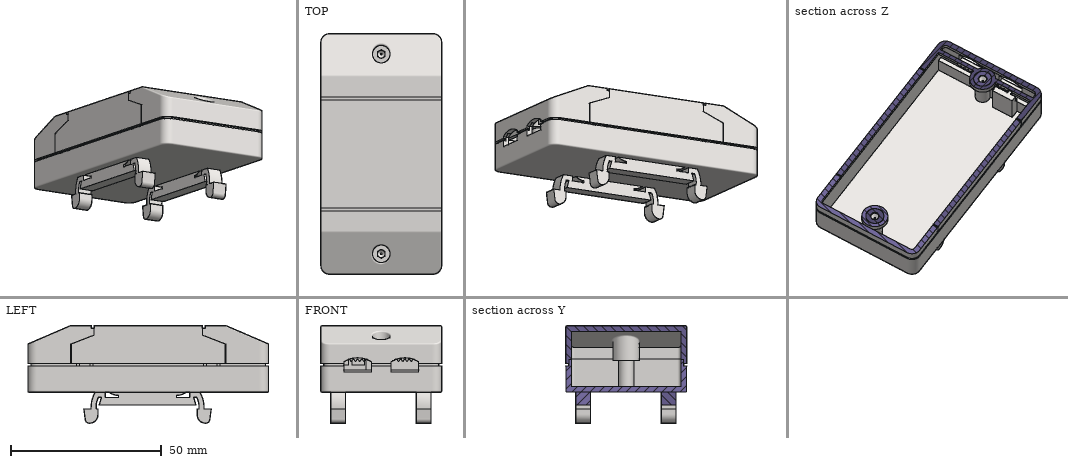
import cadquery as cq
import math

width = 40.2
length = 79.98
case_height = 22.14
wall = 2.0
corner_radius = 3.0
edge_fillet = 0.5
crease_fillet = 1.5

base_top = 8.8
lid_bottom = 9.5
lip_top = 11.0
lip_inset = 1.0
slope_start = 25.9
slope_end_z = 16.05

joint_y = 18.0
joint_top_z = 19.0
joint_foot_y = 25.75
joint_foot_z = 16.0
joint_gap = 0.25
groove_width = 0.9
groove_depth = 0.8

notch_width = 1.0
notch_depth = 0.5
notch_places = [18.8, 23.3]

entry_x = 7.85
entry_width = 9.1
entry_floor_z = 6.7
entry_side_z = 10.1
entry_crown_z = 11.5

clamp_front = 4.3
clamp_thickness = 1.5
clamp_floor_z = 7.5
tooth_tip_z = 10.2
tooth_root_z = 11.1
tooth_pitch = 1.41
tooth_count = 4

terminal_left = -12.9
terminal_right = -5.1
terminal_length = 3.0
terminal_top_z = 11.5
terminal_notch_z = 9.0
terminal_notches = [(terminal_left, -10.9), (-9.65, -5.6)]
terminal_notch_depth = 1.0

screw_y = 33.15
head_radius = 2.9
head_height = 2.0
head_top_z = 13.0
shank_radius = 1.5
shank_bottom_z = 3.0
post_radius = 2.5
bore_wall = 1.5
bore_floor = 0.5
rim_fillet = 0.5
socket_across_flats = 2.6
socket_depth = 1.2
socket_cone_depth = 1.0
socket_tip_radius = 0.25

clip_x = 14.2
clip_width = 5.0
clip_shift_x = -0.1
clip_shift_y = 0.23
clip_height = 10.28

bar_bottom_z = -4.25
bar_end_y = 16.1
slot_top_z = -1.7
slot_inner_y = 15.35
slot_outer_y = 16.3
leg_inner_y = 17.0
leg_outer_y = 18.8
leg_root_y = 17.45
leg_inner_bend = (16.95, -3.6)
leg_outer_bend = (18.6, -3.1)
foot_top_z = -5.45
foot_inner_y = 16.45
foot_curve_z = -7.45
foot_bottom_y = 19.25
foot_heel = (20.75, -8.8)
foot_tip_y = 21.2
window_outer_y = 14.0
window_floor_z = -1.7
window_inner_y = 9.65
window_ceiling_z = -1.05
window_top_y = 12.75
window_arch = (11.4, -0.75)

half_length = length / 2
inner_half_width = width / 2 - wall
clamp_y = (-half_length + clamp_front, -half_length + clamp_front + clamp_thickness)
head_bottom_z = head_top_z - head_height
sleeve_bottom_z = head_bottom_z - bore_floor
slope_angle = math.atan2(case_height - slope_end_z, half_length - slope_start)
root_z = wall / 2
overshoot = 1.0
pick_margin = 0.1


def box_between(x_range, y_range, z_range):
    """Box spanning three (low, high) ranges."""
    sizes = [high - low for low, high in (x_range, y_range, z_range)]
    corner = (x_range[0], y_range[0], z_range[0])
    return cq.Workplane("XY").box(*sizes, centered=False).translate(corner)


def cylinder(radius, y, z_low, z_high):
    """Upright cylinder on the case's centre plane."""
    plane = cq.Workplane("XY", origin=(0, y, z_low))
    return plane.circle(radius).extrude(z_high - z_low)


def rounded_block(inset, z_low, z_high):
    """The case outline moved inward by `inset`."""
    plane = cq.Workplane("XY", origin=(0, 0, z_low))
    block = plane.rect(width - 2 * inset, length - 2 * inset).extrude(z_high - z_low)
    return block.edges("|Z").fillet(corner_radius - inset)


def across(points):
    """Side profile of (Y, Z) points, extruded past both long sides of the case."""
    return cq.Workplane("YZ").polyline(points).close().extrude(width / 2 + overshoot, both=True)


def roof_profile(drop):
    """Block under the flat top and the two end slopes, lowered by `drop`."""
    end_y = half_length + overshoot
    top_z = case_height - drop
    low_z = top_z - (end_y - slope_start) * math.tan(slope_angle)
    block = across([
        (-end_y, 0), (end_y, 0), (end_y, low_z), (slope_start, top_z),
        (-slope_start, top_z), (-end_y, low_z),
    ])
    creases = cq.selectors.BoxSelector(
        (-width, -slope_start - pick_margin, top_z - pick_margin),
        (width, slope_start + pick_margin, top_z + pick_margin))
    return block.edges(creases).edges("|X").fillet(crease_fillet)


lid_solid = rounded_block(0, lid_bottom, case_height).intersect(roof_profile(0))
lid_solid = lid_solid.faces(">Z").edges("|Y").fillet(edge_fillet)
lid_cavity = rounded_block(wall, lid_bottom, case_height).intersect(roof_profile(wall))
lip_rebate = rounded_block(lip_inset, lid_bottom, lip_top)
lid_shell = lid_solid.cut(lid_cavity).cut(lip_rebate)


def cable_entry(x):
    """Arched opening through the end wall at the -Y end."""
    half = entry_width / 2
    plane = cq.Workplane("XZ", origin=(x, -half_length + wall, 0))
    outline = (
        plane.moveTo(-half, entry_floor_z).lineTo(half, entry_floor_z).lineTo(half, entry_side_z)
        .threePointArc((0, entry_crown_z), (-half, entry_side_z)).close()
    )
    return outline.extrude(wall + overshoot)


cable_entries = cable_entry(-entry_x).union(cable_entry(entry_x))


def make_floor_clamp():
    """Low rib across the base that carries the cables."""
    return box_between((-inner_half_width, inner_half_width), clamp_y, (root_z, clamp_floor_z))


def make_toothed_clamp():
    """Rib hanging from the roof, with a row of teeth over each cable."""
    points = [(-inner_half_width, case_height), (-inner_half_width, tooth_root_z)]
    for x in (-entry_x, entry_x):
        row_start = x - tooth_count * tooth_pitch / 2
        points.append((row_start, tooth_root_z))
        for tooth in range(tooth_count):
            tooth_start = row_start + tooth * tooth_pitch
            points.append((tooth_start + tooth_pitch / 2, tooth_tip_z))
            points.append((tooth_start + tooth_pitch, tooth_root_z))
    points += [(inner_half_width, tooth_root_z), (inner_half_width, case_height)]
    rib = cq.Workplane("XZ", origin=(0, clamp_y[1], 0)).polyline(points).close()
    return rib.extrude(clamp_thickness).intersect(lid_solid)


def make_base():
    """Tray with the joint lip, screw posts, cable sills and the terminal block."""
    tray = rounded_block(0, 0, base_top).faces("<Z").edges().fillet(edge_fillet)
    tray = tray.union(rounded_block(lip_inset, base_top - wall, lip_top))
    tray = tray.cut(rounded_block(wall, wall, lip_top))

    lip_face = width / 2 - lip_inset
    for side in (-1, 1):
        for notch_y in [place * end for place in notch_places for end in (-1, 1)]:
            notch = cq.Workplane("XY").box(2 * notch_depth, notch_width, lip_top - base_top)
            tray = tray.cut(notch.translate((side * lip_face, notch_y, (lip_top + base_top) / 2)))

    tray = tray.union(make_floor_clamp()).cut(cable_entries)
    for end in (-1, 1):
        tray = tray.union(cylinder(post_radius, end * screw_y, root_z, sleeve_bottom_z))
        tray = tray.cut(cylinder(shank_radius, end * screw_y, shank_bottom_z, sleeve_bottom_z))

    front = clamp_y[1]
    terminal = box_between(
        (terminal_left, terminal_right), (front, front + terminal_length), (root_z, terminal_top_z))
    for notch_left, notch_right in terminal_notches:
        terminal = terminal.cut(box_between(
            (notch_left, notch_right), (front, front + terminal_notch_depth),
            (terminal_notch_z, case_height)))
    return tray.union(terminal)


def make_end_cap(has_cable_entries):
    """Sloped cap at the -Y end with its screw bore and, if wanted, cable entries and clamp."""
    end_y = half_length + overshoot
    above_z = case_height + overshoot
    groove_floor = case_height - groove_depth
    region = across([
        (-end_y, lid_bottom), (-joint_foot_y, lid_bottom), (-joint_foot_y, joint_foot_z),
        (-joint_y, joint_top_z), (-joint_y, groove_floor), (-joint_y - groove_width, groove_floor),
        (-joint_y - groove_width, above_z), (-end_y, above_z),
    ])
    cap = lid_shell.intersect(region)
    sleeve = cylinder(head_radius + bore_wall, -screw_y, sleeve_bottom_z, case_height)
    cap = cap.union(sleeve.intersect(lid_solid))
    if has_cable_entries:
        cap = cap.union(make_toothed_clamp()).cut(cable_entries)
    cap = cap.cut(cylinder(head_radius, -screw_y, head_bottom_z, case_height))
    reach = head_radius + rim_fillet
    rim = cq.selectors.BoxSelector(
        (-reach, -screw_y - reach, slope_end_z), (reach, -screw_y + reach, case_height))
    cap = cap.edges(rim).edges("%ELLIPSE").fillet(rim_fillet)
    return cap.cut(cylinder(shank_radius, -screw_y, sleeve_bottom_z, case_height))


def make_cover():
    """Middle cover whose flanks widen below the end caps."""
    foot_y = joint_foot_y - joint_gap
    joint_slope = (joint_top_z - joint_foot_z) / (joint_foot_y - joint_y)
    foot_z = joint_foot_z + joint_gap * joint_slope
    half_outline = [
        (foot_y, lid_bottom), (foot_y, foot_z),
        (joint_y, joint_top_z), (joint_y, case_height + overshoot),
    ]
    mirrored = [(-y, z) for y, z in reversed(half_outline)]
    return lid_shell.intersect(across(half_outline + mirrored))


def make_screw():
    """Socket-head screw at the -Y end."""
    screw = cylinder(head_radius, -screw_y, head_bottom_z, head_top_z)
    screw = screw.union(cylinder(shank_radius, -screw_y, shank_bottom_z, head_bottom_z))
    across_corners = socket_across_flats / math.cos(math.pi / 6)
    top = cq.Workplane("XY", origin=(0, -screw_y, head_top_z)).transformed(rotate=(0, 0, 90))
    screw = screw.cut(top.polygon(6, across_corners).extrude(-socket_depth))
    cone = cq.Solid.makeCone(
        socket_across_flats / 2, socket_tip_radius, socket_cone_depth,
        pnt=cq.Vector(0, -screw_y, head_top_z - socket_depth), dir=cq.Vector(0, 0, -1))
    return screw.cut(cq.Workplane(cone))


def clip_half():
    """Half of the clip at +Y: spring leg, rounded foot, slot and window."""
    plane = cq.Workplane("YZ", origin=(-clip_width / 2, 0, 0))
    outline = (
        plane.moveTo(0, bar_bottom_z)
        .lineTo(bar_end_y, bar_bottom_z)
        .lineTo(slot_inner_y, slot_top_z)
        .lineTo(slot_outer_y, slot_top_z)
        .threePointArc(leg_inner_bend, (leg_inner_y, foot_top_z))
        .lineTo(foot_inner_y, foot_top_z)
        .lineTo(foot_inner_y, foot_curve_z)
        .tangentArcPoint((foot_bottom_y, -clip_height), relative=False)
        .tangentArcPoint(foot_heel, relative=False)
        .lineTo(foot_tip_y, foot_top_z)
        .lineTo(leg_outer_y, foot_top_z)
        .threePointArc(leg_outer_bend, (leg_root_y, 0))
        .lineTo(window_outer_y, 0)
        .lineTo(window_outer_y, window_floor_z)
        .lineTo(window_inner_y, window_floor_z)
        .lineTo(window_inner_y, window_ceiling_z)
        .threePointArc(window_arch, (window_top_y, 0))
        .lineTo(0, 0)
        .close()
    )
    return outline.extrude(clip_width)


def make_clip(x):
    """Rail clip lying across the underside of the base."""
    half = clip_half()
    return half.union(half.mirror("XZ")).translate((x + clip_shift_x, clip_shift_y, 0))


def half_turn(body):
    """Carry a body from the -Y end to the +Y end."""
    return body.rotate((0, 0, 0), (0, 0, 1), 180)


base = make_base()
cover = make_cover()
end_caps = [make_end_cap(True), half_turn(make_end_cap(False))]
screws = [make_screw(), half_turn(make_screw())]
clips = [make_clip(side * clip_x) for side in (-1, 1)]

bodies = [base, cover, *end_caps, *screws, *clips]
result = cq.Compound.makeCompound([solid for body in bodies for solid in body.solids().vals()])